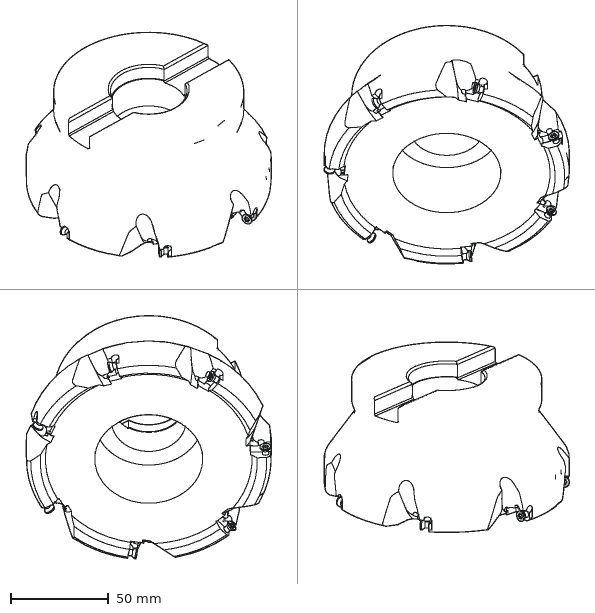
import cadquery as cq
import math

overall_height = 62.3
rim_radius = 62.7
rim_land_height = 7.1
rim_land_taper = 0.1
rim_corner_height = 3.3
rim_corner_width = 2.3
rim_top_height = 18.0
shoulder_round = 3.1
cone_top_radius = 48.8
cone_top_height = 38.5
neck_arc_radius = 9.0
neck_top_height = 47.9
hub_bottom_height = 49.0
hub_radius = 48.7
hub_top_round = 2.0

bore_radius = 19.0
bore_entry_radius = 19.5
bore_entry_depth = 8.2
bore_chamfer = 1.1
counterbore_radius = 27.6
counterbore_top = 36.6
face_recess_radius = 55.4
face_recess_depth = 2.6

slot_width = 15.9
slot_depth = 9.4
slot_top_chamfer = 1.3
slot_floor_chamfer = 0.8

flute_count = 7
first_flute_angle = 5.8
flute_center_radius = 58.3
flute_center_offset = 3.3
flute_bend_height = 13.2
groove_inward_lean = 13.5
gullet_inward_lean = 20.0
flute_sideways_lean = 12.5
groove_radius = 4.0
groove_wall_flare = 10.0
gullet_wall_slope = 27.5
gullet_setback = 0.6
gullet_bend_drop = 2.8
gullet_bend_angle = 26.0
flute_bend_radius = 15.0
flute_reach = 37.6
flute_depth = 11.3

coolant_hole_radius = 1.3
coolant_hole_offset = 4.0
coolant_hole_height = 6.4
coolant_hole_bottom = 47.6

seat_angle = 12.9
seat_inner_radius = 52.0
seat_length = 7.0
seat_height = 7.1
edge_relief_radius = 2.0
edge_relief_inset = 0.5
corner_relief_radius = 1.5
corner_relief_radial_place = 57.7
corner_relief_height = 7.6
corner_relief_length = 6.3
rim_clearance_width = 1.6
rim_clearance_depth = 0.4

screw_radial_place = 59.8
screw_height = 3.6
screw_reach = 4.4
screw_head_radius = 2.8
screw_head_rim = 0.8
screw_head_taper = 1.5
screw_shank_radius = 1.6
screw_hole_depth = 5.0
socket_radius = 1.1
socket_lobe_radius = 0.44
socket_lobes = 6
socket_depth = 1.0


def turned_blank():
    """Rim, cone, waisted neck and hub, turned about Z."""
    cone_angle = math.atan2(rim_radius - cone_top_radius, cone_top_height - rim_top_height)
    arc_center_radius = cone_top_radius + neck_arc_radius * math.cos(cone_angle)
    arc_center_height = cone_top_height + neck_arc_radius * math.sin(cone_angle)
    waist_radius = arc_center_radius - neck_arc_radius
    arc_rise = neck_top_height - arc_center_height
    arc_end_radius = arc_center_radius - math.sqrt(neck_arc_radius**2 - arc_rise**2)
    round_tangent = shoulder_round * math.tan(cone_angle / 2)
    round_center_radius = rim_radius - shoulder_round
    round_start_height = rim_top_height - round_tangent
    round_mid = (
        round_center_radius + shoulder_round * math.cos(cone_angle / 2),
        round_start_height + shoulder_round * math.sin(cone_angle / 2),
    )
    round_end = (
        round_center_radius + shoulder_round * math.cos(cone_angle),
        round_start_height + shoulder_round * math.sin(cone_angle),
    )
    diagonal = 1 - math.sqrt(0.5)
    land_radius = rim_radius - rim_land_taper
    corner_radius = (rim_corner_width**2 + rim_corner_height**2) / (2 * rim_corner_width)
    half_sweep = math.asin(rim_corner_height / corner_radius) / 2
    corner_mid = (
        land_radius - corner_radius * (1 - math.cos(half_sweep)),
        rim_corner_height - corner_radius * math.sin(half_sweep),
    )
    return (
        cq.Workplane("XZ")
        .lineTo(land_radius - rim_corner_width, 0)
        .threePointArc(corner_mid, (land_radius, rim_corner_height))
        .lineTo(rim_radius, rim_land_height)
        .lineTo(rim_radius, round_start_height)
        .threePointArc(round_mid, round_end)
        .lineTo(cone_top_radius, cone_top_height)
        .threePointArc((waist_radius, arc_center_height), (arc_end_radius, neck_top_height))
        .lineTo(hub_radius, hub_bottom_height)
        .lineTo(hub_radius, overall_height - hub_top_round)
        .threePointArc(
            (hub_radius - diagonal * hub_top_round, overall_height - diagonal * hub_top_round),
            (hub_radius - hub_top_round, overall_height),
        )
        .lineTo(0, overall_height)
        .close()
        .revolve(360, (0, 0, 0), (0, 1, 0))
    )


def bore_cutter():
    """Chamfered stepped bore, counterbored from below, with a shallow dish in the bottom face."""
    entry_bottom = overall_height - bore_entry_depth
    return (
        cq.Workplane("XZ")
        .lineTo(face_recess_radius, 0)
        .lineTo(face_recess_radius - face_recess_depth, face_recess_depth)
        .lineTo(counterbore_radius, face_recess_depth)
        .lineTo(counterbore_radius, counterbore_top)
        .lineTo(bore_radius, counterbore_top)
        .lineTo(bore_radius, entry_bottom)
        .lineTo(bore_entry_radius, entry_bottom)
        .lineTo(bore_entry_radius, overall_height - bore_chamfer)
        .lineTo(bore_entry_radius + bore_chamfer, overall_height)
        .lineTo(0, overall_height)
        .close()
        .revolve(360, (0, 0, 0), (0, 1, 0))
    )


def slot_cutter():
    """Drive slot along Y with broken top edges and chamfered floor corners."""
    half_width = slot_width / 2
    floor = overall_height - slot_depth
    half_outline = [
        (half_width - slot_floor_chamfer, floor),
        (half_width, floor + slot_floor_chamfer),
        (half_width, overall_height - slot_top_chamfer),
        (half_width + slot_top_chamfer, overall_height),
    ]
    mirrored = [(-x, z) for x, z in reversed(half_outline)]
    return cq.Workplane("XZ").polyline(half_outline + mirrored).close().extrude(rim_radius, both=True)


def bent_path(bend_height, bend_angle):
    """Straight down along Z, then round a bend: a positive angle turns it towards the axis."""
    bend = math.radians(bend_angle)
    side = math.copysign(1, bend)

    def on_bend(angle):
        return (
            -side * flute_bend_radius * (1 - math.cos(angle)),
            bend_height - flute_bend_radius * math.sin(abs(angle)),
        )

    bend_end = on_bend(bend)
    return (
        cq.Workplane("XZ")
        .moveTo(0, flute_reach)
        .lineTo(0, bend_height)
        .threePointArc(on_bend(bend / 2), bend_end)
        .lineTo(
            bend_end[0] - flute_reach * math.sin(bend),
            bend_end[1] - flute_reach * math.cos(bend),
        )
    )


def leaned(shape, inward_lean):
    """Tilt a cutter made upright at the origin and set it into the rim."""
    return (
        shape.rotate((0, 0, 0), (0, 1, 0), inward_lean)
        .rotate((0, 0, 0), (1, 0, 0), flute_sideways_lean)
        .translate((flute_center_radius, flute_center_offset, flute_bend_height))
    )


def groove_cutter():
    """Round-bottomed groove with one flared wall; its lower end turns upright."""
    flare = math.radians(groove_wall_flare)
    flare_point = (-groove_radius * math.sin(flare), groove_radius * math.cos(flare))
    groove = (
        cq.Workplane("XY", origin=(0, 0, flute_reach))
        .moveTo(*flare_point)
        .threePointArc((-groove_radius, 0), (0, -groove_radius))
        .lineTo(flute_depth, -groove_radius)
        .lineTo(flute_depth, flare_point[1] + (flute_depth - flare_point[0]) * math.tan(flare))
        .close()
        .sweep(bent_path(0, -groove_inward_lean))
    )
    return leaned(groove, groove_inward_lean)


def gullet_cutter():
    """Wide sloping gullet that opens beside the groove and turns inward at its lower end."""
    gullet_width = (flute_depth + gullet_setback) / math.tan(math.radians(gullet_wall_slope))
    gullet = (
        cq.Workplane("XY", origin=(0, 0, flute_reach))
        .moveTo(-gullet_setback, -groove_radius)
        .lineTo(flute_depth, -groove_radius - gullet_width)
        .lineTo(flute_depth, 0)
        .lineTo(-gullet_setback, 0)
        .close()
        .sweep(bent_path(-gullet_bend_drop, gullet_bend_angle))
    )
    return leaned(gullet, gullet_inward_lean)


def coolant_hole():
    """Radial hole in the floor of the flute."""
    return (
        cq.Workplane("YZ", origin=(coolant_hole_bottom, 0, 0))
        .center(coolant_hole_offset, coolant_hole_height)
        .circle(coolant_hole_radius)
        .extrude(rim_radius - coolant_hole_bottom)
    )


def along_rim(radial_place, height, start):
    """Workplane at the given place whose normal points along +Y."""
    return cq.Workplane(cq.Plane((radial_place, start, height), xDir=(1, 0, 0), normal=(0, 1, 0)))


def seat_cutter():
    """Insert seat open to the rim and the face, with its reliefs and its screw hole."""
    seat_depth = rim_radius - seat_inner_radius
    seat = (
        cq.Workplane("XY")
        .box(seat_depth, seat_length, seat_height, centered=False)
        .translate((seat_inner_radius, -seat_length, 0))
    )
    edge_relief = (
        cq.Workplane("YZ", origin=(seat_inner_radius, 0, 0))
        .center(-edge_relief_inset, seat_height)
        .circle(edge_relief_radius)
        .extrude(seat_depth)
    )
    corner_relief = (
        along_rim(corner_relief_radial_place, corner_relief_height, -corner_relief_length)
        .circle(corner_relief_radius)
        .extrude(corner_relief_length)
    )
    screw_hole = (
        along_rim(screw_radial_place, screw_height, 0)
        .circle(screw_shank_radius)
        .extrude(screw_hole_depth)
    )
    rim_clearance = (
        cq.Workplane("XY")
        .box(rim_clearance_width, rim_clearance_width, seat_height, centered=False)
        .translate((rim_radius - rim_clearance_depth, 0, 0))
    )
    return seat.union(edge_relief).union(corner_relief).union(screw_hole).union(rim_clearance)


def screw():
    """Countersunk screw with a six-lobed socket."""
    taper_start = screw_head_rim - screw_reach
    shank_start = taper_start + screw_head_taper
    body = (
        cq.Workplane("XY")
        .moveTo(0, -screw_reach)
        .lineTo(screw_head_radius, -screw_reach)
        .lineTo(screw_head_radius, taper_start)
        .lineTo(screw_shank_radius, shank_start)
        .lineTo(screw_shank_radius, screw_hole_depth)
        .lineTo(0, screw_hole_depth)
        .close()
        .revolve(360, (0, 0, 0), (0, 1, 0))
        .translate((screw_radial_place, 0, screw_height))
    )
    face = along_rim(screw_radial_place, screw_height, -screw_reach)
    socket = face.circle(socket_radius).extrude(socket_depth)
    lobes = (
        face.polarArray(socket_radius, 0, 360, socket_lobes)
        .circle(socket_lobe_radius)
        .extrude(socket_depth)
    )
    return body.cut(socket.union(lobes))


def turned(shape, angle):
    return shape.rotate((0, 0, 0), (0, 0, 1), angle)


flute_angles = [first_flute_angle + index * 360 / flute_count for index in range(flute_count)]

cutter_body = turned_blank().cut(bore_cutter()).cut(slot_cutter())
flute = groove_cutter().union(gullet_cutter()).union(coolant_hole())
tooth_gap = flute.union(turned(seat_cutter(), seat_angle))
for angle in flute_angles:
    cutter_body = cutter_body.cut(turned(tooth_gap, angle))

screws = [turned(screw(), angle + seat_angle).val() for angle in flute_angles]

result = cq.Compound.makeCompound([cutter_body.val(), *screws])